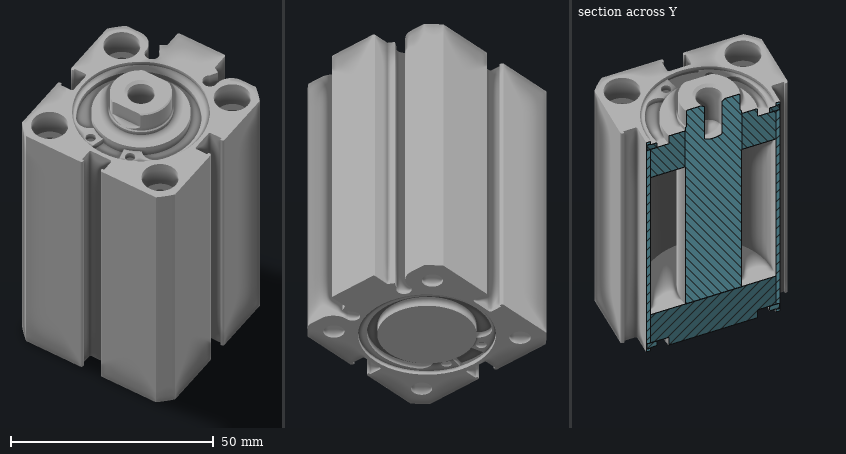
import cadquery as cq
import math


barrel_width = 45.0
barrel_half = barrel_width / 2
barrel_height = 73.0
corner_round_radius = 29.5
tongue_half_width = 7.0
tongue_rise = 5.0
tongue_edge_radius = 0.4

hook_radius = 1.9
hook_x = 8.5
hook_y = 18.05
hook_neck_angle = math.radians(58)
barb_half_width = 8.6
barb_slope = math.radians(30)

slot_depth = 4.5
slot_half_width = 3.25
slot_mouth_half_width = 2.65
slot_lip_thickness = 0.9
slot_edge_radius = 0.5

mount_hole_pitch = 32.5
mount_hole_diameter = 5.2
mount_bore_diameter = 9.2
mount_bore_depth = 7.0

bore_radius = 17.0
groove_wall = 0.125
groove_radius = barrel_half - slot_depth - groove_wall
ring_setback = 1.1
ring_thickness = 1.6

ring_opening_radius = 15.47
ring_opening_offset = 0.95
lug_inner_radius = 12.5
lug_root_radius = 3.45
lug_root_angle = math.radians(35.9)
ring_gap_half_angle = math.radians(14.3)
lug_hole_radius = 1.3
lug_hole_x = 5.85
lug_hole_y = -13.45
ring_turn = -0.9

cap_boss_radius = 12.25
cap_boss_height = ring_setback + ring_thickness
cap_flange_thickness = 10.0

rod_radius = 8.0
rod_top = 80.0
rod_bottom = cap_boss_height + cap_flange_thickness
rod_neck_radius = 7.7
rod_shoulder_z = 74.0
rod_top_chamfer = 0.3
rod_flat_half_width = 6.5
tap_radius = 3.4
tap_mouth_radius = 4.1
tap_depth = 12.0
drill_half_angle = math.radians(59)


def polar(center, radius, angle):
    """Point at a radius and angle about a centre."""
    return (center[0] + radius * math.cos(angle), center[1] + radius * math.sin(angle))


def cylinder(radius, bottom, top):
    return cq.Workplane("XY").workplane(offset=bottom).circle(radius).extrude(top - bottom)


def hook_groove():
    """Hooked groove on the -X side of the tongue, open to the +Y face."""
    center = (-hook_x, hook_y)
    shoulder_radius = barrel_half - hook_y
    shoulder_center = (-hook_x - hook_radius - shoulder_radius, hook_y)
    barb_y = barrel_half - (barb_half_width - tongue_half_width) * math.tan(barb_slope)
    return (
        cq.Workplane("XY")
        .moveTo(shoulder_center[0], barrel_half)
        .threePointArc(
            polar(shoulder_center, shoulder_radius, math.pi / 4),
            polar(center, hook_radius, math.pi),
        )
        .threePointArc(
            polar(center, hook_radius, -math.pi / 2),
            polar(center, hook_radius, hook_neck_angle),
        )
        .lineTo(-barb_half_width, barb_y)
        .lineTo(-tongue_half_width, barrel_half)
        .close()
        .extrude(barrel_height)
    )


def sensor_slot():
    """T-slot in the -Y face, with rounded floor corners and rounded mouth edges."""
    lip_y = -barrel_half + slot_lip_thickness
    floor_y = -barrel_half + slot_depth
    chamber = (
        cq.Workplane("XY")
        .rect(2 * slot_half_width, floor_y - lip_y)
        .extrude(barrel_height)
        .translate((0, (floor_y + lip_y) / 2, 0))
        .edges("|Z and >Y")
        .fillet(slot_edge_radius)
    )
    flare_half_width = slot_mouth_half_width + slot_edge_radius
    flare_y = -barrel_half + slot_edge_radius
    arc_mid = slot_edge_radius * math.sqrt(0.5)
    mouth = (
        cq.Workplane("XY")
        .moveTo(-flare_half_width, -barrel_half)
        .threePointArc(
            (-flare_half_width + arc_mid, flare_y - arc_mid),
            (-slot_mouth_half_width, flare_y),
        )
        .lineTo(-slot_mouth_half_width, lip_y)
        .lineTo(slot_mouth_half_width, lip_y)
        .lineTo(slot_mouth_half_width, flare_y)
        .threePointArc(
            (flare_half_width - arc_mid, flare_y - arc_mid),
            (flare_half_width, -barrel_half),
        )
        .close()
        .extrude(barrel_height)
    )
    return chamber.union(mouth)


def ring_groove(bottom):
    return cylinder(groove_radius, bottom, bottom + ring_thickness)


def make_barrel():
    body = cq.Workplane("XY").rect(barrel_width, barrel_width).extrude(barrel_height)
    body = body.intersect(cylinder(corner_round_radius, 0, barrel_height))

    tongue_top = barrel_half + tongue_rise
    tongue = (
        cq.Workplane("XY")
        .rect(2 * tongue_half_width, tongue_top - bore_radius)
        .extrude(barrel_height)
        .translate((0, (tongue_top + bore_radius) / 2, 0))
        .edges("|Z and >Y")
        .fillet(tongue_edge_radius)
    )
    groove = hook_groove()
    body = body.union(tongue).cut(groove).cut(groove.mirror("YZ"))

    slot = sensor_slot()
    for angle in (-90, 0, 90):
        body = body.cut(slot.rotate((0, 0, 0), (0, 0, 1), angle))

    body = (
        body.faces(">Z")
        .workplane(origin=(0, 0, barrel_height))
        .rect(mount_hole_pitch, mount_hole_pitch, forConstruction=True)
        .vertices()
        .cboreHole(mount_hole_diameter, mount_bore_diameter, mount_bore_depth)
    )

    body = body.cut(cylinder(bore_radius, 0, barrel_height))
    body = body.cut(ring_groove(ring_setback))
    return body.cut(ring_groove(barrel_height - ring_setback - ring_thickness))


def make_retaining_ring():
    """Internal ring from Z = 0 upwards, its gap towards -Y and a drilled lug on each side of it."""
    axis = (0, 0)
    opening_center = (0, -ring_opening_offset)
    root_center = polar(opening_center, ring_opening_radius - lug_root_radius, -lug_root_angle)
    root_start = polar(opening_center, ring_opening_radius, -lug_root_angle)

    root_distance = math.hypot(*root_center)
    root_direction = math.atan2(root_center[1], root_center[0])
    crossing = math.acos(
        (root_distance**2 + lug_inner_radius**2 - lug_root_radius**2)
        / (2 * root_distance * lug_inner_radius)
    )
    lug_start_angle = root_direction - crossing
    lug_start = polar(axis, lug_inner_radius, lug_start_angle)
    root_mid = polar(root_center, lug_root_radius, -math.pi / 2)

    gap_angle = -math.pi / 2 + ring_gap_half_angle
    gap_outer = polar(axis, groove_radius, gap_angle)
    gap_inner = polar(axis, lug_inner_radius, gap_angle)
    lug_mid = polar(axis, lug_inner_radius, (gap_angle + lug_start_angle) / 2)

    def opposite(point):
        return (-point[0], point[1])

    return (
        cq.Workplane("XY")
        .moveTo(*gap_outer)
        .threePointArc((0, groove_radius), opposite(gap_outer))
        .lineTo(*opposite(gap_inner))
        .threePointArc(opposite(lug_mid), opposite(lug_start))
        .threePointArc(opposite(root_mid), opposite(root_start))
        .threePointArc((0, ring_opening_radius - ring_opening_offset), root_start)
        .threePointArc(root_mid, lug_start)
        .threePointArc(lug_mid, gap_inner)
        .close()
        .pushPoints([(-lug_hole_x, lug_hole_y), (lug_hole_x, lug_hole_y)])
        .circle(lug_hole_radius)
        .extrude(ring_thickness)
    )


def make_rear_cover():
    """Blind cap: a boss flush with the barrel foot and a flange behind the retaining ring."""
    boss = cylinder(cap_boss_radius, 0, cap_boss_height)
    flange = cylinder(bore_radius, cap_boss_height, cap_boss_height + cap_flange_thickness)
    return boss.union(flange)


def make_gland():
    """Front cap: the rear cover's shape turned over, with a bore for the rod."""
    cap = make_rear_cover().mirror("XY").translate((0, 0, barrel_height))
    return cap.cut(cylinder(rod_radius, 0, barrel_height))


def make_rod():
    shoulder_chamfer = rod_radius - rod_neck_radius
    neck_z = rod_shoulder_z + shoulder_chamfer
    rod = (
        cq.Workplane("XZ")
        .moveTo(0, rod_bottom)
        .lineTo(rod_radius, rod_bottom)
        .lineTo(rod_radius, rod_shoulder_z)
        .lineTo(rod_neck_radius, neck_z)
        .lineTo(rod_neck_radius, rod_top - rod_top_chamfer)
        .lineTo(rod_neck_radius - rod_top_chamfer, rod_top)
        .lineTo(0, rod_top)
        .close()
        .revolve()
    )

    countersink = tap_mouth_radius - tap_radius
    tap_floor = rod_top - tap_depth
    tapped_hole = (
        cq.Workplane("XZ")
        .moveTo(0, rod_top)
        .lineTo(tap_mouth_radius, rod_top)
        .lineTo(tap_radius, rod_top - countersink)
        .lineTo(tap_radius, tap_floor)
        .lineTo(0, tap_floor - tap_radius / math.tan(drill_half_angle))
        .close()
        .revolve()
    )

    flat_depth = rod_radius - rod_flat_half_width
    flat_bottom = neck_z + rod_neck_radius - rod_flat_half_width
    flat_cut = (
        cq.Workplane("YZ")
        .moveTo(rod_flat_half_width, rod_top)
        .lineTo(rod_flat_half_width, flat_bottom)
        .lineTo(rod_radius, flat_bottom - flat_depth)
        .lineTo(rod_radius, rod_top)
        .close()
        .extrude(rod_radius, both=True)
    )
    return rod.cut(tapped_hole).cut(flat_cut).cut(flat_cut.mirror("XZ"))


barrel = make_barrel()
gland = make_gland()
rear_cover = make_rear_cover()
rod = make_rod()
rings = [
    make_retaining_ring().rotate((0, 0, 0), (0, 0, 1), ring_turn).translate((0, 0, bottom))
    for bottom in (ring_setback, barrel_height - ring_setback - ring_thickness)
]

result = cq.Compound.makeCompound(
    [barrel.val(), gland.val(), rear_cover.val(), rod.val(), *[ring.val() for ring in rings]]
)